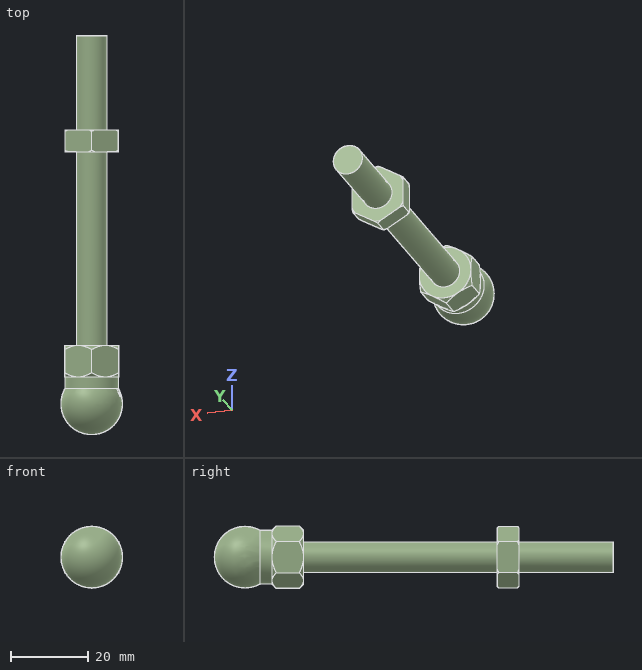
import cadquery as cq
import math

total_length = 103.0
ball_diameter = 16.0
rod_diameter = 7.9

collar_diameter = 13.9
head_across_flats = 14.0
head_start = 14.9
head_length = 8.1

nut_across_flats = 13.8
nut_start = 73.0
nut_length = 5.7

corners_per_flats = 2 / math.sqrt(3)

head_chamfer = head_across_flats * (corners_per_flats - 1) / 2
nut_chamfer = 0.4


def cylinder(diameter, start, length):
    """Round bar along +Y."""
    plane = cq.Workplane("XZ", origin=(0, start, 0))
    return plane.circle(diameter / 2).extrude(-length)


def hex_with_turned_corners(across_flats, start, length, chamfer):
    """Hexagon along +Y with corners up and down, turned to 45 degrees at both ends."""
    across_corners = across_flats * corners_per_flats
    plane = cq.Workplane("XZ", origin=(0, start, 0))
    hexagon = plane.transformed(rotate=(0, 0, 90)).polygon(6, across_corners).extrude(-length)
    turned_blank = cylinder(across_corners, start, length).edges("%CIRCLE").chamfer(chamfer)
    return hexagon.intersect(turned_blank)


ball_radius = ball_diameter / 2
ball = cq.Workplane("XY").sphere(ball_radius).translate((0, ball_radius, 0))
collar = cylinder(collar_diameter, ball_radius, head_start - ball_radius)
head = hex_with_turned_corners(head_across_flats, head_start, head_length, head_chamfer)
rod = cylinder(rod_diameter, head_start, total_length - head_start)
nut = hex_with_turned_corners(nut_across_flats, nut_start, nut_length, nut_chamfer)

result = ball.union(collar).union(head).union(rod).union(nut)